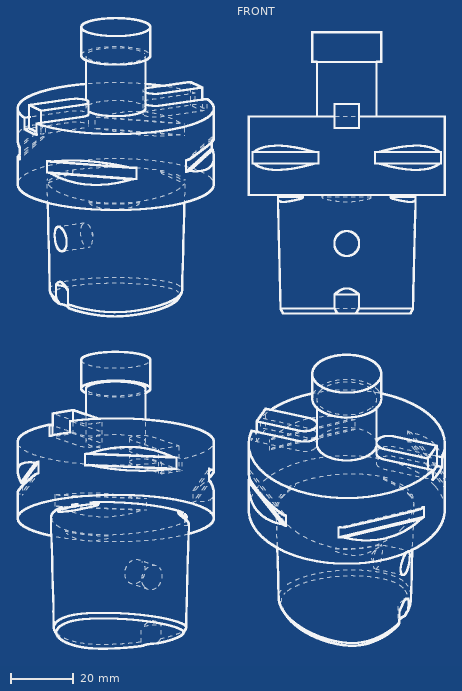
import cadquery as cq
import math


flange_radius = 31.5
flange_height = 25.25

neck_radius = 9.6
neck_height = 17.5
head_radius = 11.1
head_height = 9.5

shank_length = 38.0
straight_length = 3.0
shank_radius = 22.1
lobe_height = 1.4
lobes = 3
outline_points = 36
taper = 1 / 40
end_chamfer_length = 1.65
end_chamfer_depth = 0.85

relief_radius = 22.35
relief_fillet = 0.5
relief_arc_radius = 1.27
relief_outer_radius = 25.0

side_hole_radius = 4.0
side_hole_depth = 10.0
side_hole_z = -15.5
drill_tip_angle = 118.0

end_pocket_radius = 5.5
end_pocket_height = 6.2
end_pocket_axis_offset = 3.7

groove_count = 4
groove_first_angle = 45.0
groove_z = 12.0
groove_floor_distance = 27.75
groove_wall_depth = 0.7
groove_floor_width = 3.8
groove_mouth_width = 7.8

key_width = 8.0
key_height = 7.75
key_sunk_depth = 3.75
key_inner_end = 10.5
key_outer_end = 29.5
key_angles = (0, 180)

shank_bottom_z = -shank_length
chamfer_top_z = shank_bottom_z + end_chamfer_length
chamfer_top_radius = shank_radius - taper * (shank_length - straight_length - end_chamfer_length)
key_base_z = flange_height - key_sunk_depth


def lobed_outline(mean_radius, z):
    """Closed constant-width curve with one lobe pointing along +Y."""
    points = []
    for index in range(outline_points):
        angle = 2 * math.pi * index / outline_points - math.pi / 2
        support = mean_radius - lobe_height * math.sin(lobes * angle)
        slope = -lobes * lobe_height * math.cos(lobes * angle)
        x = support * math.cos(angle) - slope * math.sin(angle)
        y = support * math.sin(angle) + slope * math.cos(angle)
        points.append(cq.Vector(x, y, z))
    return cq.Wire.assembleEdges([cq.Edge.makeSpline(points, periodic=True)])


def make_shank():
    sections = [
        (shank_radius, 0),
        (shank_radius, -straight_length),
        (chamfer_top_radius, chamfer_top_z),
        (chamfer_top_radius - end_chamfer_depth, shank_bottom_z),
    ]
    outlines = [lobed_outline(radius, z) for radius, z in sections]
    return cq.Workplane(obj=cq.Solid.makeLoft(outlines, True))


def make_lobe_relief():
    """Ring with a filleted top corner and a floor that curves into a 45 degree run-out."""
    diagonal = math.sqrt(0.5)
    fillet_z = -relief_fillet
    arc_end_radius = relief_radius + relief_arc_radius * (1 - diagonal)
    arc_end_z = fillet_z - relief_arc_radius * diagonal
    profile = (
        cq.Workplane("XZ")
        .moveTo(relief_outer_radius, 0)
        .lineTo(relief_radius + relief_fillet, 0)
        .threePointArc(
            (relief_radius + relief_fillet * (1 - diagonal), -relief_fillet * (1 - diagonal)),
            (relief_radius, fillet_z),
        )
        .tangentArcPoint((arc_end_radius, arc_end_z), relative=False)
        .lineTo(relief_outer_radius, arc_end_z - (relief_outer_radius - arc_end_radius))
        .close()
    )
    return profile.revolve(360, (0, 0, 0), (0, 1, 0))


def make_side_hole():
    """Blind drilled hole along Y, ending in a conical drill tip."""
    surface_y = -(shank_radius - lobe_height)
    floor_y = surface_y + side_hole_depth
    tip_length = side_hole_radius / math.tan(math.radians(drill_tip_angle / 2))
    profile = (
        cq.Workplane("XY")
        .moveTo(0, -flange_radius)
        .lineTo(side_hole_radius, -flange_radius)
        .lineTo(side_hole_radius, floor_y)
        .lineTo(0, floor_y + tip_length)
        .close()
    )
    return profile.revolve(360, (0, 0, 0), (0, 1, 0)).translate((0, 0, side_hole_z))


def make_end_pocket():
    """Upright bore, open at the shank's end, with a 45 degree conical roof."""
    axis_y = -(chamfer_top_radius - lobe_height) - end_pocket_axis_offset
    profile = (
        cq.Workplane("XZ")
        .lineTo(end_pocket_radius, 0)
        .lineTo(end_pocket_radius, end_pocket_height)
        .lineTo(0, end_pocket_height + end_pocket_radius)
        .close()
    )
    bore = profile.revolve(360, (0, 0, 0), (0, 1, 0))
    return bore.translate((0, axis_y, shank_bottom_z))


def make_gripper_groove(angle):
    """Straight groove across the flange edge, with a flat floor and sides that flare near the mouth."""
    half_floor = groove_floor_width / 2
    half_mouth = groove_mouth_width / 2
    flare_start = groove_floor_distance + groove_wall_depth
    profile = (
        cq.Workplane("XZ")
        .moveTo(groove_floor_distance, groove_z - half_floor)
        .lineTo(flare_start, groove_z - half_floor)
        .lineTo(flange_radius, groove_z - half_mouth)
        .lineTo(flange_radius, groove_z + half_mouth)
        .lineTo(flare_start, groove_z + half_floor)
        .lineTo(groove_floor_distance, groove_z + half_floor)
        .close()
    )
    groove = profile.extrude(flange_radius, both=True)
    return groove.rotate((0, 0, 0), (0, 0, 1), angle)


def key_shape(outer_end, angle):
    """Upright bar along Y with a half-round inner end, turned about Z."""
    half_width = key_width / 2
    round_start = key_inner_end + half_width
    bar = (
        cq.Workplane("XY", origin=(0, 0, key_base_z))
        .moveTo(-half_width, outer_end)
        .lineTo(-half_width, round_start)
        .threePointArc((0, key_inner_end), (half_width, round_start))
        .lineTo(half_width, outer_end)
        .close()
        .extrude(key_height)
    )
    return bar.rotate((0, 0, 0), (0, 0, 1), angle)


def make_keyway(angle):
    """Seat of a key, running out through the flange edge."""
    return key_shape(flange_radius, angle)


def make_driving_key(angle):
    return key_shape(key_outer_end, angle)


def make_arbor():
    shank = make_shank().cut(make_lobe_relief()).cut(make_side_hole()).cut(make_end_pocket())

    flange = cq.Workplane("XY").circle(flange_radius).extrude(flange_height)
    for index in range(groove_count):
        flange = flange.cut(make_gripper_groove(groove_first_angle + index * 360 / groove_count))
    for angle in key_angles:
        flange = flange.cut(make_keyway(angle))

    neck = cq.Workplane("XY", origin=(0, 0, flange_height)).circle(neck_radius).extrude(neck_height)
    head = neck.faces(">Z").workplane().circle(head_radius).extrude(head_height)

    return flange.union(shank).union(head)


arbor = make_arbor()
driving_keys = [make_driving_key(angle) for angle in key_angles]

result = cq.Compound.makeCompound([arbor.val(), *[key.val() for key in driving_keys]])